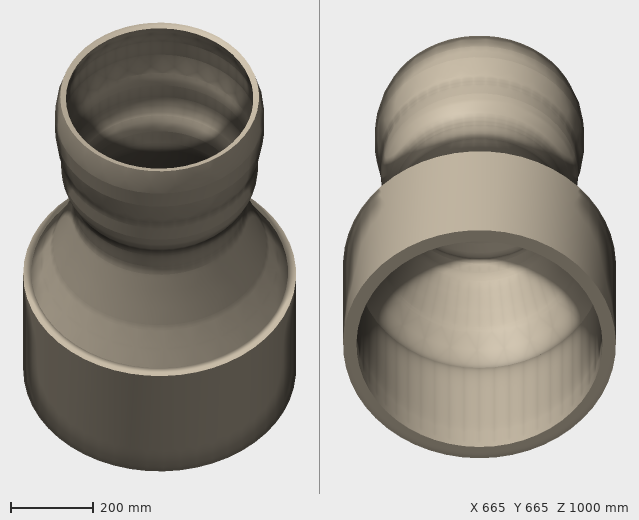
import cadquery as cq
import math

total_height = 1000.0
pipe_diameter = 665.0
pipe_height = 350.0
neck_radius = 210.0
wall = 15.0

rim_slope = 22.0
waist_slope = -17.8
shoulder_slope = -36.0
flare_top_slope = 18.0
flare_bottom_slope = 21.0
skirt_slope = 28.4

skirt_bottom = pipe_height + wall * math.sin(math.radians(skirt_slope))

stations = [
    (total_height, rim_slope),
    (933.0, 0.0),
    (885.0, 0.0),
    (823.0, waist_slope),
    (789.0, 0.0),
    (747.0, 0.0),
    (688.0, shoulder_slope),
    (654.0, 0.0),
    (612.0, 0.0),
    (588.0, flare_top_slope),
    (456.0, flare_bottom_slope),
    (443.0, skirt_slope),
    (skirt_bottom, skirt_slope),
]
neck_station = 7


def radius_change(upper, lower):
    """Growth in radius down a line or arc that is tangent to both end slopes."""
    mean_slope = math.radians((upper[1] + lower[1]) / 2)
    return (upper[0] - lower[0]) * math.tan(mean_slope)


def station_radii():
    """Outer radius at every station, set so that the neck has its own radius."""
    radii = [0.0]
    for upper, lower in zip(stations, stations[1:]):
        radii.append(radii[-1] + radius_change(upper, lower))
    shift = neck_radius - radii[neck_station]
    return [radius + shift for radius in radii]


def inward(point, slope, depth):
    """Move a (radius, height) point into the wall, square to the surface."""
    angle = math.radians(slope)
    return (point[0] - depth * math.cos(angle), point[1] - depth * math.sin(angle))


def surface_edges(depth):
    """Profile edges of the surface lying at a depth below the outer surface."""
    radii = station_radii()
    edges = []
    for i in range(len(stations) - 1):
        top_height, top_slope = stations[i]
        bottom_height, bottom_slope = stations[i + 1]
        top = (radii[i], top_height)
        bottom = (radii[i + 1], bottom_height)
        start = cq.Vector(*inward(top, top_slope, depth))
        end = cq.Vector(*inward(bottom, bottom_slope, depth))
        if top_slope == bottom_slope:
            edges.append(cq.Edge.makeLine(start, end))
            continue
        sine_change = math.sin(math.radians(top_slope)) - math.sin(math.radians(bottom_slope))
        arc_radius = (top_height - bottom_height) / sine_change
        center = inward(top, top_slope, arc_radius)
        mean_slope = (top_slope + bottom_slope) / 2
        middle = cq.Vector(*inward(center, mean_slope, depth - arc_radius))
        edges.append(cq.Edge.makeThreePointArc(start, middle, end))
    return edges


def make_shell():
    """Thin formed shell: head, collar, neck, flare and skirt."""
    outer = surface_edges(0.0)
    inner = surface_edges(wall)
    rim = cq.Edge.makeLine(outer[0].startPoint(), inner[0].startPoint())
    foot = cq.Edge.makeLine(outer[-1].endPoint(), inner[-1].endPoint())
    profile = cq.Wire.assembleEdges(outer + [foot] + inner[::-1] + [rim])
    return cq.Workplane("XY").add(
        cq.Solid.revolve(profile, [], 360, cq.Vector(0, 0, 0), cq.Vector(0, 1, 0))
        .rotate(cq.Vector(0, 0, 0), cq.Vector(1, 0, 0), 90)
    )


def make_pipe():
    """Straight pipe whose bore meets the inner edge of the shell's foot."""
    foot_radius = station_radii()[-1]
    bore_radius = inward((foot_radius, skirt_bottom), skirt_slope, wall)[0]
    return cq.Workplane("XY").circle(pipe_diameter / 2).circle(bore_radius).extrude(pipe_height)


shell = make_shell()
pipe = make_pipe()

result = cq.Compound.makeCompound([shell.val(), pipe.val()])